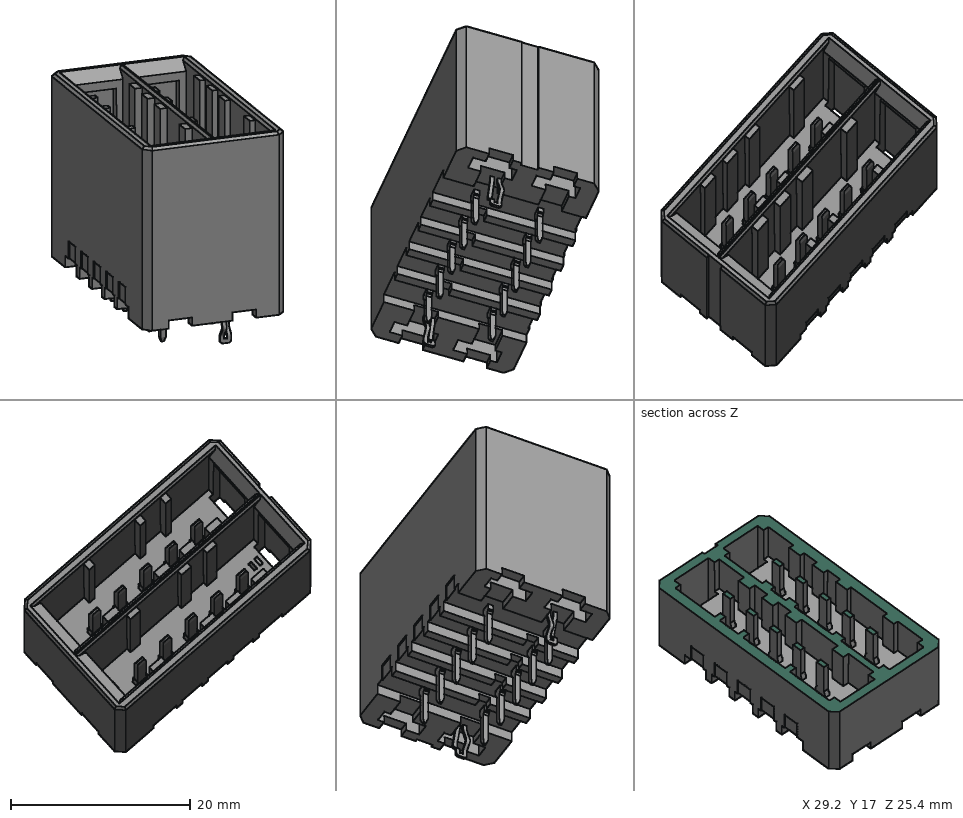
import cadquery as cq


length = 29.25
width = 16.95
height = 21.52
corner_chamfer = 0.88
rim_chamfer = 0.32
key_groove_width = 2.0
key_groove_depth = 0.32

mouth_half_length = 13.83
mouth_near_y = 0.1
mouth_far_y = 7.5
lead_in_width = 0.3
lead_in_height = 0.32
end_slope = 1.3
wall_draft = 0.1
floor_z = 4.4

window_near_x = 11.9
window_far_x = 13.45
window_near_y = 1.17
window_far_y = 6.37
window_top_z = 19.25

pin_count = 5
pin_pitch = 3.8
row_ys = (-3.63, 3.98)

rib_top_z = 21.05
wide_rib_places = (-2, -1, 0, 2)
narrow_rib_places = (-1.5, -0.5, 1.5)
wide_rib_width = 1.8
upper_narrow_rib_width = 1.45
lower_narrow_rib_width = 0.85

outer_wall_y = 7.3
middle_wall_y = 0.3
upper_wide_rib_face = 6.52
upper_narrow_rib_face = 1.02
lower_wide_rib_face = -1.25
lower_narrow_rib_face = -6.25

comb_depth = 1.35
comb_half_length = 9.6
tooth_width = 0.95
label_width = 2.05
label_height = 2.05
label_depth = 0.15

end_notch_height = 0.96
end_notch_width = 2.78
end_notch_ys = (-4.2, 3.48)
clip_channel_width = 1.4
clip_channel_y = 2.75

pin_size = 0.65
pin_tip_size = 0.3
pin_tip_length = 0.55
tail_length = 3.9
tail_shoulder_width = 1.17
tail_shoulder_z = 0.65
tail_waist_width = 1.02
tail_waist_z = 0.45
tail_neck_z = 0.2
blade_width = 1.23
blade_top_z = 13.15
blade_tip_length = 0.73
blade_tip_width = 0.96
blade_tip_thickness = 0.25
blade_tip_radius = 0.25
collar_width = 1.78
collar_height = 0.73
relief_slot_width = 0.18
relief_slot_depth = 0.3
relief_slot_offset = 0.5

clip_x = 10.75
clip_y = 2.7
clip_width = 1.35
clip_thickness = 0.25
clip_slit_width = 0.38
clip_root_z = 2.35
clip_fork_z = 0.3
clip_apex_x = 1.0
clip_apex_z = -1.95
clip_apex_thickness = 0.3
clip_join_z = -2.9
clip_bend_radius = 0.67
clip_slit_end_z = -3.35
clip_tail_chamfer = 0.23
clip_pocket_length = 1.0
clip_pocket_width = 0.4
clip_pocket_depth = 0.3
clip_ramp_depth = 0.88
clip_pocket_offset = 0.45

pin_xs = [(i - (pin_count - 1) / 2) * pin_pitch for i in range(pin_count)]


def block(x0, x1, y0, y1, z0, z1):
    """Box between two opposite corners."""
    return cq.Workplane("XY").box(x1 - x0, y1 - y0, z1 - z0, centered=False).translate((x0, y0, z0))


def centred_block(x, y, size_x, size_y, z0, z1):
    """Box centred on (x, y), from z0 up to z1."""
    return block(x - size_x / 2, x + size_x / 2, y - size_y / 2, y + size_y / 2, z0, z1)


def tapered_block(y, lower, upper, z0, z1):
    """Block whose rectangle (size_x, size_y) changes from lower at z0 to upper at z1."""
    base = cq.Workplane("XY", origin=(0, y, z0)).rect(*lower)
    return base.workplane(offset=z1 - z0).rect(*upper).loft(ruled=True)


def shell():
    """Outer block with its chamfers and the key groove in the -X end."""
    body = cq.Workplane("XY").box(length, width, height, centered=(True, True, False))
    body = body.edges("|Z").chamfer(corner_chamfer)
    body = body.faces(">Z").edges().chamfer(rim_chamfer)
    return body.cut(centred_block(-length / 2, 0, 2 * key_groove_depth, key_groove_width, 0, height))


def cavity():
    """Drafted cavity with a lead-in along its sides and 45 degree slopes at its ends."""
    y = (mouth_near_y + mouth_far_y) / 2
    mouth = (2 * mouth_half_length, mouth_far_y - mouth_near_y)
    throat_width = mouth[1] - 2 * lead_in_width
    inner_length = mouth[0] - 2 * end_slope
    throat_z = height - lead_in_height
    slope_z = height - end_slope
    slope_draft = wall_draft * (throat_z - slope_z) / (throat_z - floor_z)
    sections = [
        (floor_z, (inner_length - 2 * wall_draft, throat_width - 2 * wall_draft)),
        (slope_z, (inner_length, throat_width - 2 * slope_draft)),
        (throat_z, (mouth[0] - 2 * lead_in_height, throat_width)),
        (height, mouth),
    ]
    space = None
    for (z0, lower), (z1, upper) in zip(sections, sections[1:]):
        step = tapered_block(y, lower, upper, z0, z1)
        space = step if space is None else space.union(step)
    window = block(window_near_x, window_far_x, window_near_y, window_far_y, 0, window_top_z)
    return space.union(window).union(window.mirror("YZ")).clean()


def wall_ribs(places, rib_width, y0, y1):
    """Row of coding ribs between y0 and y1, standing on the cavity floor."""
    ribs = cq.Workplane("XY")
    for place in places:
        x = place * pin_pitch
        ribs = ribs.union(block(x - rib_width / 2, x + rib_width / 2, y0, y1, floor_z, rib_top_z))
    return ribs


def comb():
    """Channels across the underside below the pins, leaving a tooth between neighbours."""
    space = centred_block(0, 0, 2 * comb_half_length, width, 0, comb_depth)
    for x in pin_xs[:-1]:
        space = space.cut(centred_block(x + pin_pitch / 2, 0, tooth_width, width, 0, comb_depth))
    return space


def label_recesses():
    """Shallow number fields above the comb on the -Y side."""
    space = cq.Workplane("XY")
    for x in pin_xs:
        top = comb_depth + label_height
        space = space.union(centred_block(x, -width / 2, label_width, 2 * label_depth, comb_depth, top))
    return space


def end_notches():
    """Notches in both ends up to the comb, and the channel that joins the two clips."""
    space = centred_block(0, clip_channel_y, length, clip_channel_width, 0, end_notch_height)
    notch_length = length / 2 - comb_half_length
    notch_x = (length / 2 + comb_half_length) / 2
    for y in end_notch_ys:
        for x in (-notch_x, notch_x):
            space = space.union(centred_block(x, y, notch_length, end_notch_width, 0, end_notch_height))
    return space


def pin():
    """Pin at the origin: tapered blade, collar on the floor, shouldered tail."""
    blade_base = blade_top_z - blade_tip_length
    tip_base = pin_tip_length - tail_length
    blade = (blade_width, pin_size)
    collar = (collar_width, pin_size)
    shoulder = (tail_shoulder_width, pin_size)
    waist = (tail_waist_width, pin_size)
    tail = (pin_size, pin_size)
    tip = tapered_block(0, blade, (blade_tip_width, blade_tip_thickness), blade_base, blade_top_z)
    tip = tip.faces(">Z").edges("|Y").fillet(blade_tip_radius)
    contact = tip.union(tapered_block(0, blade, blade, floor_z, blade_base))
    contact = contact.union(tapered_block(0, collar, blade, floor_z, floor_z + collar_height))
    contact = contact.union(tapered_block(0, shoulder, shoulder, tail_shoulder_z, floor_z))
    contact = contact.union(tapered_block(0, waist, shoulder, tail_waist_z, tail_shoulder_z))
    contact = contact.union(tapered_block(0, tail, waist, tail_neck_z, tail_waist_z))
    contact = contact.union(tapered_block(0, tail, tail, tip_base, tail_neck_z))
    return contact.union(tapered_block(0, (pin_tip_size, pin_tip_size), tail, -tail_length, tip_base))


def relief_slots(x, y):
    """Two narrow floor slots beside the pin at (x, y)."""
    z0 = floor_z - relief_slot_depth
    upper = centred_block(x, y + relief_slot_offset, blade_width, relief_slot_width, z0, floor_z)
    lower = centred_block(x, y - relief_slot_offset, blade_width, relief_slot_width, z0, floor_z)
    return upper.union(lower)


def clip_leg():
    """Half of a clip on its +Y side, bowed towards +X between the fork and the join."""
    half = clip_thickness / 2
    outline = [
        (half, clip_root_z),
        (half, clip_fork_z),
        (clip_apex_x, clip_apex_z),
        (half, clip_join_z),
        (half, -tail_length),
        (-half, -tail_length),
        (-half, clip_join_z),
        (clip_apex_x - clip_apex_thickness, clip_apex_z),
        (-half, clip_fork_z),
        (-half, clip_root_z),
    ]
    leg_width = (clip_width - clip_slit_width) / 2
    leg = cq.Workplane("XZ", origin=(0, clip_width / 2, 0)).polyline(outline).close().extrude(leg_width)
    for z in (clip_fork_z, clip_apex_z, clip_join_z):
        low_corner = (-clip_apex_x, -clip_width, z - clip_thickness)
        high_corner = (clip_apex_x * 2, clip_width, z + clip_thickness)
        bend = cq.selectors.BoxSelector(low_corner, high_corner)
        leg = leg.edges("|Y").edges(bend).fillet(clip_bend_radius)
    return leg


def clip():
    """Split clip at the origin: two legs bowed opposite ways, joined at the root and the tail."""
    leg = clip_leg()
    spring = leg.union(leg.rotate((0, 0, 0), (0, 0, 1), 180))
    spring = spring.union(centred_block(0, 0, clip_thickness, clip_width, end_notch_height, clip_root_z))
    spring = spring.union(centred_block(0, 0, clip_thickness, clip_width, -tail_length, clip_slit_end_z))
    return spring.faces("<Z").edges("|X").chamfer(clip_tail_chamfer)


def clip_pockets():
    """Two floor pockets above the -X clip: a flat outer one and an inner one with a ramped bottom."""
    outer_x = -clip_x - clip_pocket_offset
    inner_x = -clip_x + clip_pocket_offset
    z0 = floor_z - clip_pocket_depth
    outer = centred_block(outer_x, clip_y, clip_pocket_width, clip_pocket_length, z0, floor_z)
    ramp = [
        (inner_x - clip_pocket_width / 2, floor_z),
        (inner_x + clip_pocket_width / 2, floor_z),
        (inner_x + clip_pocket_width / 2, floor_z - clip_ramp_depth),
        (inner_x - clip_pocket_width / 2, z0),
    ]
    start = (0, clip_y + clip_pocket_length / 2, 0)
    inner = cq.Workplane("XZ", origin=start).polyline(ramp).close().extrude(clip_pocket_length)
    return outer.union(inner)


back_cavity = cavity()
result = shell().cut(back_cavity).cut(back_cavity.mirror("XZ"))
result = result.cut(comb()).cut(label_recesses()).cut(end_notches())

rib_rows = [
    (wide_rib_places, wide_rib_width, upper_wide_rib_face, outer_wall_y),
    (narrow_rib_places, upper_narrow_rib_width, middle_wall_y, upper_narrow_rib_face),
    (wide_rib_places, wide_rib_width, lower_wide_rib_face, -middle_wall_y),
    (narrow_rib_places, lower_narrow_rib_width, -outer_wall_y, lower_narrow_rib_face),
]
for rib_row in rib_rows:
    result = result.union(wall_ribs(*rib_row))

pin_body = pin()
for row_y in row_ys:
    for pin_x in pin_xs:
        result = result.cut(relief_slots(pin_x, row_y))
        result = result.union(pin_body.translate((pin_x, row_y, 0)))

pockets = clip_pockets()
result = result.cut(pockets).cut(pockets.mirror("YZ"))
clip_body = clip().translate((-clip_x, clip_y, 0))
result = result.union(clip_body).union(clip_body.mirror("YZ"))